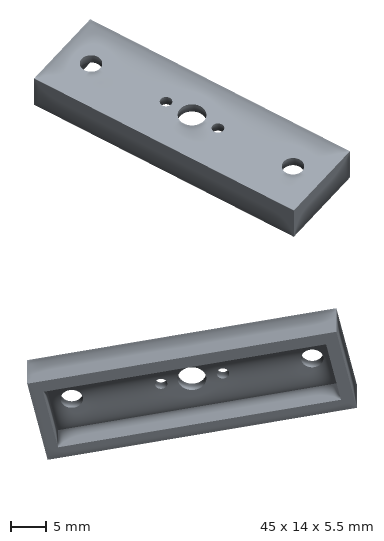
import cadquery as cq

length = 45.0
width = 14.0
thickness = 5.5

rim_thickness = 1.9
top_thickness = 1.5
pocket_length = length - 2 * rim_thickness
pocket_width = width - 2 * rim_thickness
pocket_depth = thickness - top_thickness

center_hole_diameter = 4.1
mount_hole_diameter = 3.2
mount_hole_spacing = 35.0
pin_hole_diameter = 1.8
pin_hole_spacing = 9.0


def centered_block(size_x, size_y, height):
    """Block centred in X and Y, standing on Z = 0."""
    return cq.Workplane("XY").box(size_x, size_y, height, centered=(True, True, False))


def drill(body, diameter, positions):
    """Drill holes straight down through the body at the given (x, y) positions."""
    drills = cq.Workplane("XY").pushPoints(positions).circle(diameter / 2).extrude(thickness)
    return body.cut(drills)


def symmetric_pair(spacing):
    """Two positions along X, placed evenly about the plate centre."""
    return [(-spacing / 2, 0), (spacing / 2, 0)]


plate = centered_block(length, width, thickness)
plate = plate.cut(centered_block(pocket_length, pocket_width, pocket_depth))
plate = drill(plate, center_hole_diameter, [(0, 0)])
plate = drill(plate, mount_hole_diameter, symmetric_pair(mount_hole_spacing))
plate = drill(plate, pin_hole_diameter, symmetric_pair(pin_hole_spacing))

result = plate